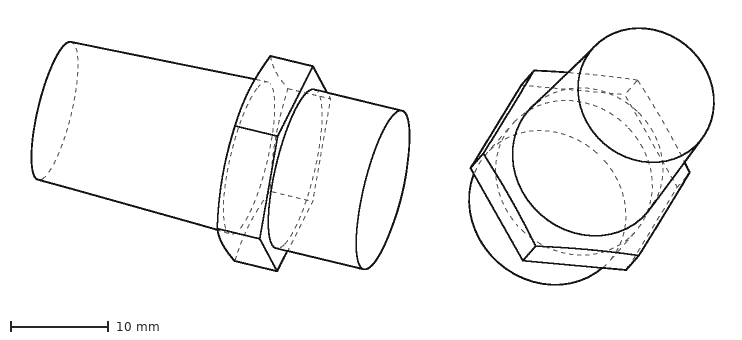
import cadquery as cq
import math

SHANK_LENGTH = 21.0
HEX_THICKNESS = 5.0
SPIGOT_LENGTH = 10.0

SHANK_END_DIAMETER = 14.5
SHANK_ROOT_DIAMETER = 16.0

HEX_ACROSS_CORNERS = 22.0
HEX_SIDES = 6
HEX_ROTATION = -0.5
HEX_CHAMFER_ANGLE = 15.0

SPIGOT_DIAMETER = 16.7
SPIGOT_TIP_DIAMETER = 13.0
SPIGOT_CHAMFER_LENGTH = 0.5

hex_start = SHANK_LENGTH
hex_end = hex_start + HEX_THICKNESS
part_end = hex_end + SPIGOT_LENGTH
hex_across_flats = HEX_ACROSS_CORNERS * math.cos(math.pi / HEX_SIDES)


def revolved(profile):
    """Revolve a closed (x, radius) profile about the X axis."""
    return cq.Workplane("XZ").polyline(profile).close().revolve(360, (0, 0, 0), (1, 0, 0))


def tapered_shank():
    """Solid cone frustum widening toward the collar."""
    return revolved([
        (0, 0),
        (0, SHANK_END_DIAMETER / 2),
        (hex_start, SHANK_ROOT_DIAMETER / 2),
        (hex_start, 0),
    ])


def hex_collar():
    """Hexagon whose corners are chamfered by a cone on the shank side."""
    prism = (
        cq.Workplane("YZ", origin=(hex_start, 0, 0))
        .polygon(HEX_SIDES, HEX_ACROSS_CORNERS)
        .extrude(HEX_THICKNESS)
        .rotate((0, 0, 0), (1, 0, 0), HEX_ROTATION)
    )
    face_radius = hex_across_flats / 2
    outer_radius = HEX_ACROSS_CORNERS
    chamfer_depth = (outer_radius - face_radius) * math.tan(math.radians(HEX_CHAMFER_ANGLE))
    envelope = revolved([
        (hex_start, 0),
        (hex_start, face_radius),
        (hex_start + chamfer_depth, outer_radius),
        (hex_end, outer_radius),
        (hex_end, 0),
    ])
    return prism.intersect(envelope)


def spigot():
    """Plain cylinder with a shallow conical lead-in at its free end."""
    return revolved([
        (hex_end, 0),
        (hex_end, SPIGOT_DIAMETER / 2),
        (part_end - SPIGOT_CHAMFER_LENGTH, SPIGOT_DIAMETER / 2),
        (part_end, SPIGOT_TIP_DIAMETER / 2),
        (part_end, 0),
    ])


result = tapered_shank().union(hex_collar()).union(spigot())